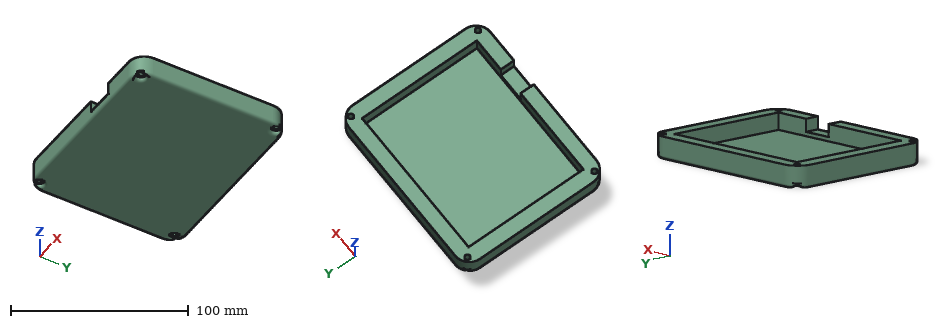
import cadquery as cq

LENGTH = 119.4
WIDTH = 99.2
HEIGHT = 13.3
CORNER_RADIUS = 10.0
BOTTOM_FILLET = 2.0

POCKET_LENGTH = 100.0
POCKET_WIDTH = 80.6
FLOOR_THICKNESS = 3.2

NOTCH_CENTRE_X = 18.3
NOTCH_WIDTH = 18.5
NOTCH_DEPTH = 7.5

HOLE_INSET = CORNER_RADIUS / 2
HOLE_DIAMETER = 3.3
COUNTERBORE_DIAMETER = 6.0
COUNTERBORE_DEPTH = 3.0


def make_body():
    """Plate with rounded upright corners."""
    plate = cq.Workplane("XY").box(LENGTH, WIDTH, HEIGHT, centered=(True, True, False))
    return plate.edges("|Z").fillet(CORNER_RADIUS)


def make_pocket():
    """Sharp-cornered recess, open at the top."""
    return (
        cq.Workplane("XY", origin=(0, 0, FLOOR_THICKNESS))
        .rect(POCKET_LENGTH, POCKET_WIDTH)
        .extrude(HEIGHT - FLOOR_THICKNESS)
    )


def make_wall_notch():
    """Block that opens the front wall from outside through to the pocket."""
    wall_thickness = (WIDTH - POCKET_WIDTH) / 2
    wall_centre_y = -(WIDTH - wall_thickness) / 2
    return (
        cq.Workplane("XY", origin=(NOTCH_CENTRE_X, wall_centre_y, HEIGHT - NOTCH_DEPTH))
        .rect(NOTCH_WIDTH, wall_thickness)
        .extrude(NOTCH_DEPTH)
    )


def make_corner_cylinders(diameter, height):
    """One upright cylinder at each screw position, rising from the underside."""
    return (
        cq.Workplane("XY")
        .rect(LENGTH - 2 * HOLE_INSET, WIDTH - 2 * HOLE_INSET, forConstruction=True)
        .vertices()
        .circle(diameter / 2)
        .extrude(height)
    )


counterbored_body = make_body().cut(make_corner_cylinders(COUNTERBORE_DIAMETER, COUNTERBORE_DEPTH))
rounded_body = counterbored_body.faces("<Z").edges().fillet(BOTTOM_FILLET)

result = (
    rounded_body
    .cut(make_corner_cylinders(HOLE_DIAMETER, HEIGHT))
    .cut(make_pocket())
    .cut(make_wall_notch())
)